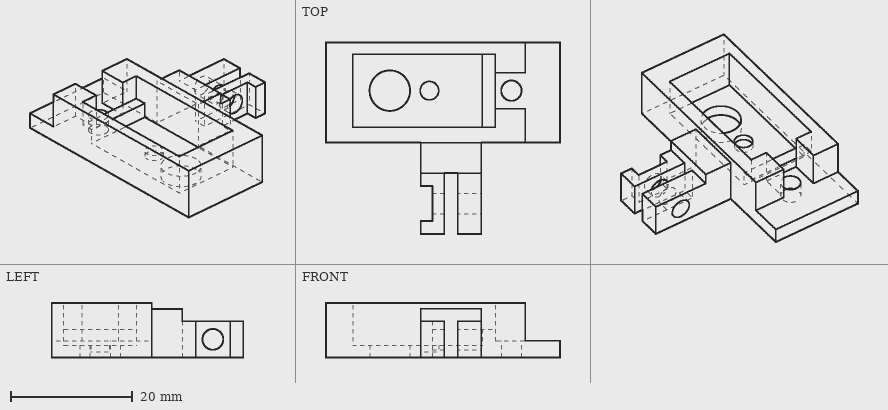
import cadquery as cq


base_length = 38.5
body_length = 32.8
body_width = 16.48
body_height = 9.0
base_thickness = 2.8

pocket_start = 4.4
pocket_end = 27.8
pocket_width = 12.0
pocket_floor = 2.0
rib_thickness = 2.08
rib_top = 4.65

centre_y = 8.55
exit_width = 5.95

large_hole_x = 10.5
large_hole_diameter = 6.62
blind_hole_x = 17.0
blind_hole_diameter = 3.05
blind_hole_depth = 1.0
screw_hole_x = 30.5
screw_hole_diameter = 3.3

arm_start = 15.55
arm_width = 10.0
arm_height = 8.0
arm_length = 5.0
fork_height = 6.0
fork_length = 10.0
fork_gap = 2.2

cross_hole_diameter = 3.4
nut_width = 5.7
nut_depth = 1.95


def block(x_range, y_range, z_range):
    """Axis-aligned box given by its limits along each axis."""
    (x0, x1), (y0, y1), (z0, z1) = x_range, y_range, z_range
    return cq.Workplane("XY").box(x1 - x0, y1 - y0, z1 - z0, centered=False).translate((x0, y0, z0))


def centred(middle, width):
    """Limits of a span of the given width around its middle."""
    return (middle - width / 2, middle + width / 2)


def upright_hole(x, diameter, bottom, top):
    """Vertical cylinder on the shared centre line."""
    return cq.Workplane("XY", origin=(x, centre_y, bottom)).circle(diameter / 2).extrude(top - bottom)


def make_housing():
    width_range = (0, body_width)
    housing = block((0, body_length), width_range, (0, body_height))
    housing = housing.union(block((0, base_length), width_range, (0, base_thickness)))

    pocket_y = centred(centre_y, pocket_width)
    rib_start = pocket_end - rib_thickness
    housing = housing.cut(block((pocket_start, rib_start), pocket_y, (pocket_floor, body_height)))
    housing = housing.cut(block((rib_start, pocket_end), pocket_y, (rib_top, body_height)))

    exit_y = centred(centre_y, exit_width)
    housing = housing.cut(block((pocket_end, body_length), exit_y, (base_thickness, body_height)))

    housing = housing.cut(upright_hole(large_hole_x, large_hole_diameter, 0, pocket_floor))
    housing = housing.cut(upright_hole(screw_hole_x, screw_hole_diameter, 0, base_thickness))
    blind_bottom = pocket_floor - blind_hole_depth
    return housing.cut(upright_hole(blind_hole_x, blind_hole_diameter, blind_bottom, pocket_floor))


def make_arm():
    arm_x = (arm_start, arm_start + arm_width)
    fork_y = (-arm_length - fork_length, -arm_length)
    fork_z = (0, fork_height)
    arm = block(arm_x, (-arm_length, 0), (0, arm_height))
    arm = arm.union(block(arm_x, fork_y, fork_z))

    gap_x = centred(arm_start + arm_width / 2, fork_gap)
    arm = arm.cut(block(gap_x, fork_y, fork_z))

    hole_y = -arm_length - fork_length / 2
    hole_z = fork_height / 2
    arm = arm.cut(block((arm_start, arm_start + nut_depth), centred(hole_y, nut_width), fork_z))
    cross_hole = (
        cq.Workplane("YZ", origin=(arm_start, hole_y, hole_z))
        .circle(cross_hole_diameter / 2)
        .extrude(arm_width)
    )
    return arm.cut(cross_hole)


result = make_housing().union(make_arm())